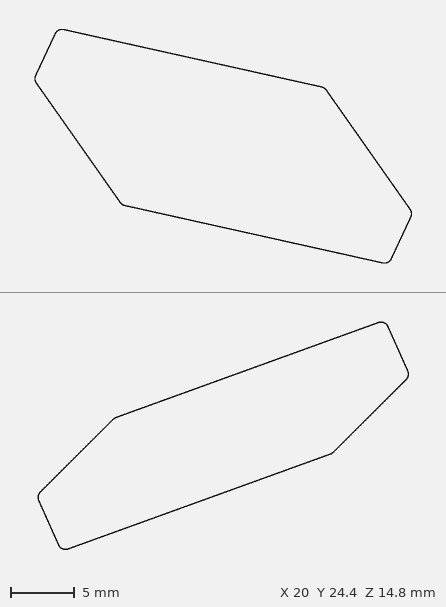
import cadquery as cq
import math

overall_depth = 24.4
width = 20.0
thickness = 5.08
edge_radius = 0.6
tilt_angle = 25

tilt = math.radians(tilt_angle)
core_thickness = thickness - 2 * edge_radius
core_depth = overall_depth - 2 * edge_radius
core_length = (core_depth - core_thickness * math.sin(tilt)) / math.cos(tilt)
length = core_length + 2 * edge_radius

block = cq.Workplane("XY").box(width, length, thickness).edges().fillet(edge_radius)

result = block.rotate((0, 0, 0), (1, 0, 0), -tilt_angle)